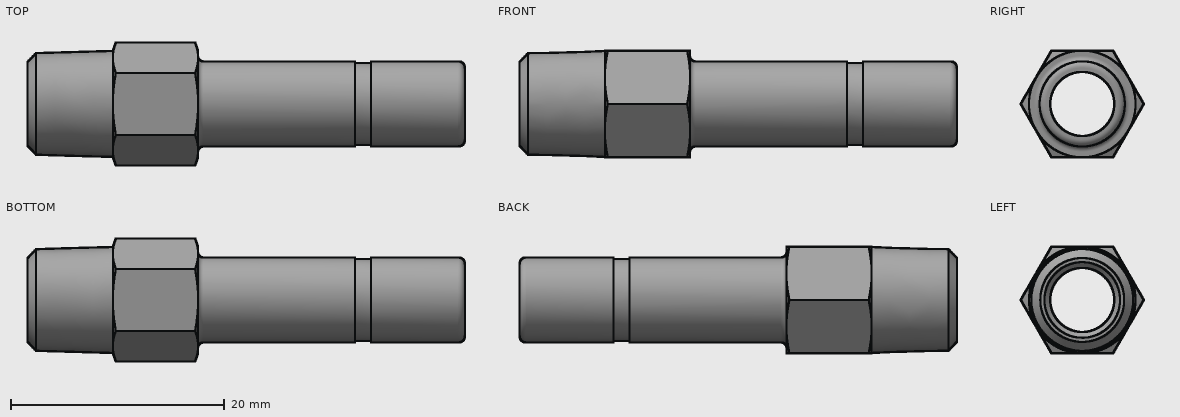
import cadquery as cq
import math

total_length = 41.0
hex_start = 8.0
hex_length = 8.0
hex_end = hex_start + hex_length

hex_sides = 6
hex_across_flats = 10.0
hex_across_corners = hex_across_flats / math.cos(math.pi / hex_sides)
hex_chamfer_angle = 20.0

thread_tip_diameter = 7.87
thread_small_diameter = 9.55
thread_large_diameter = 9.95
thread_chamfer_length = 0.8

stem_diameter = 8.0
shoulder_radius = 0.5
groove_start = 30.7
groove_width = 1.48
groove_diameter = 7.7
stem_tip_radius = 0.6

bore_diameter = 6.0
bore_mouth_diameter = 7.1


def revolve_about_x(profile):
    """Revolve a closed profile, drawn as (x, radius), a full turn about the X axis."""
    return profile.close().revolve(360, (0, 0, 0), (1, 0, 0))


def make_thread_end():
    """Chamfered cone that widens toward the hexagon."""
    return revolve_about_x(
        cq.Workplane("XY")
        .lineTo(0, thread_tip_diameter / 2)
        .lineTo(thread_chamfer_length, thread_small_diameter / 2)
        .lineTo(hex_start, thread_large_diameter / 2)
        .lineTo(hex_start, 0)
    )


def make_hexagon():
    """Hexagon with flats facing +Z and -Z, its corners chamfered at both ends."""
    prism = (
        cq.Workplane("YZ", origin=(hex_start, 0, 0))
        .polygon(hex_sides, hex_across_corners)
        .extrude(hex_length)
    )
    flat_radius = hex_across_flats / 2
    corner_radius = hex_across_corners / 2
    chamfer_length = (corner_radius - flat_radius) * math.tan(math.radians(hex_chamfer_angle))
    envelope = revolve_about_x(
        cq.Workplane("XY")
        .moveTo(hex_start, 0)
        .lineTo(hex_start, flat_radius)
        .lineTo(hex_start + chamfer_length, corner_radius)
        .lineTo(hex_end - chamfer_length, corner_radius)
        .lineTo(hex_end, flat_radius)
        .lineTo(hex_end, 0)
    )
    return prism.intersect(envelope)


def make_stem():
    """Stem with a concave round at the hexagon, a shallow groove and a rounded tip."""
    stem_radius = stem_diameter / 2
    groove_radius = groove_diameter / 2
    groove_end = groove_start + groove_width
    return revolve_about_x(
        cq.Workplane("XY")
        .moveTo(hex_end, 0)
        .lineTo(hex_end, stem_radius + shoulder_radius)
        .radiusArc((hex_end + shoulder_radius, stem_radius), -shoulder_radius)
        .lineTo(groove_start, stem_radius)
        .lineTo(groove_start, groove_radius)
        .lineTo(groove_end, groove_radius)
        .lineTo(groove_end, stem_radius)
        .lineTo(total_length - stem_tip_radius, stem_radius)
        .radiusArc((total_length, stem_radius - stem_tip_radius), stem_tip_radius)
        .lineTo(total_length, 0)
    )


def make_bore():
    """Through bore with a 45 degree chamfer at the thread end."""
    chamfer_length = (bore_mouth_diameter - bore_diameter) / 2
    return revolve_about_x(
        cq.Workplane("XY")
        .lineTo(0, bore_mouth_diameter / 2)
        .lineTo(chamfer_length, bore_diameter / 2)
        .lineTo(total_length, bore_diameter / 2)
        .lineTo(total_length, 0)
    )


body = make_thread_end().union(make_hexagon()).union(make_stem())
result = body.cut(make_bore())